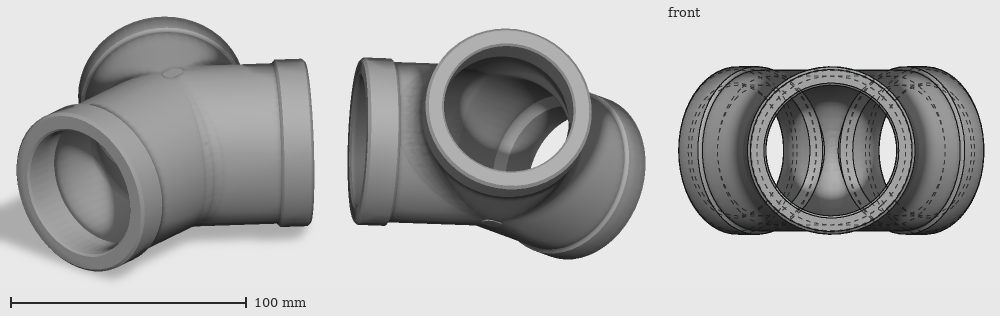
import cadquery as cq
import math

collar_diameter = 71.0
body_diameter = 68.0
cavity_diameter = 63.0
socket_diameter = 55.4
main_length = 62.0
branch_length = 57.2
collar_length = 14.0
collar_chamfer = 1.23
socket_depth = 16.7
socket_chamfer = 0.9
outer_blend_radius = 11.4
inner_blend_radius = 9.6
plaque_length = 10.1
plaque_width = 6.2
plaque_height = 0.4

branch_angle = 45
outlets = [(-90, main_length), (branch_angle, branch_length), (180 - branch_angle, branch_length)]

collar_radius = collar_diameter / 2
body_radius = body_diameter / 2
cavity_radius = cavity_diameter / 2
socket_radius = socket_diameter / 2
arc_sections = 7


def polar(radius, angle):
    return cq.Vector(radius * math.cos(math.radians(angle)), radius * math.sin(math.radians(angle)), 0)


def revolve_outlet(profile, angle):
    """Turn a (distance along axis, radius) outline about the X axis and aim it at angle."""
    turned = cq.Workplane("XY").polyline(profile).close().revolve(360, (0, 0, 0), (1, 0, 0))
    return turned.rotate((0, 0, 0), (0, 0, 1), angle)


def outlet_outside(angle, length):
    collar_start = length - collar_length
    return revolve_outlet(
        [
            (0, 0),
            (0, body_radius),
            (collar_start, body_radius),
            (collar_start + collar_chamfer, collar_radius),
            (length - collar_chamfer, collar_radius),
            (length, collar_radius - collar_chamfer),
            (length, 0),
        ],
        angle,
    )


def cavity_end(length):
    """Distance from the centre at which the cavity starts its 45 degree taper to the socket."""
    return length - socket_depth - (cavity_radius - socket_radius)


def outlet_inside(angle, length):
    return revolve_outlet(
        [
            (0, 0),
            (0, cavity_radius),
            (cavity_end(length), cavity_radius),
            (length - socket_depth, socket_radius),
            (length - socket_chamfer, socket_radius),
            (length, socket_radius + socket_chamfer),
            (length, 0),
        ],
        angle,
    )


def half_ellipse(reach, height):
    """Half-ellipse standing in a vertical plane, from bottom pole through reach to top pole."""
    outward = reach.normalized()
    normal = outward.cross(cq.Vector(0, 0, 1))
    return cq.Edge.makeEllipse(reach.Length, height, cq.Vector(), normal, outward, 270, 90)


def blend_wedge(radius, blend_radius, first_angle, second_angle):
    """Wedge with a rounded crotch between two outlets; its rounding fades out towards both poles."""
    middle = (first_angle + second_angle) / 2
    half_gap = math.radians(second_angle - first_angle) / 2
    arc_centre = polar((radius + blend_radius) / math.sin(half_gap), middle)
    half_sweep = 90 - math.degrees(half_gap)
    edges = []
    for i in range(arc_sections):
        turn = half_sweep * (2 * i / (arc_sections - 1) - 1)
        edges.append(half_ellipse(arc_centre - polar(blend_radius, middle - turn), radius))
    rounded = cq.occ_impl.shapes.loft(*edges)
    axis = cq.Edge.makeLine(cq.Vector(0, 0, -radius), cq.Vector(0, 0, radius))
    sides = [cq.Face.makeFromWires(cq.Wire.assembleEdges([edge, axis])) for edge in (edges[0], edges[-1])]
    wedge = cq.occ_impl.shapes.solid(*rounded.Faces(), *sides)
    return cq.Workplane(obj=wedge)


def join_outlets(outlet_shape):
    joined, *others = [outlet_shape(angle, length) for angle, length in outlets]
    for other in others:
        joined = joined.union(other)
    return joined


def crotch_blends(radius, blend_radius):
    """One blend wedge between each pair of neighbouring outlets."""
    directions = [angle for angle, length in outlets] + [outlets[0][0] + 360]
    return [
        blend_wedge(radius, blend_radius, first, second)
        for first, second in zip(directions, directions[1:])
    ]


def beyond_cavity(angle, length):
    """Everything in an outlet past the start of its taper, where the inner blends stop."""
    start = cavity_end(length)
    block = cq.Workplane("XY").box(length, collar_diameter, collar_diameter, centered=(False, True, True))
    return block.translate((start, 0, 0)).rotate((0, 0, 0), (0, 0, 1), angle)


outside = join_outlets(outlet_outside)
for wedge in crotch_blends(body_radius, outer_blend_radius):
    outside = outside.union(wedge)

inside = join_outlets(outlet_inside)
for wedge in crotch_blends(cavity_radius, inner_blend_radius):
    for angle, length in outlets:
        wedge = wedge.cut(beyond_cavity(angle, length))
    inside = inside.union(wedge)

plaques = cq.Workplane("XY").slot2D(plaque_length, plaque_width, 90).extrude(body_radius + plaque_height, both=True)

result = outside.union(plaques).cut(inside)